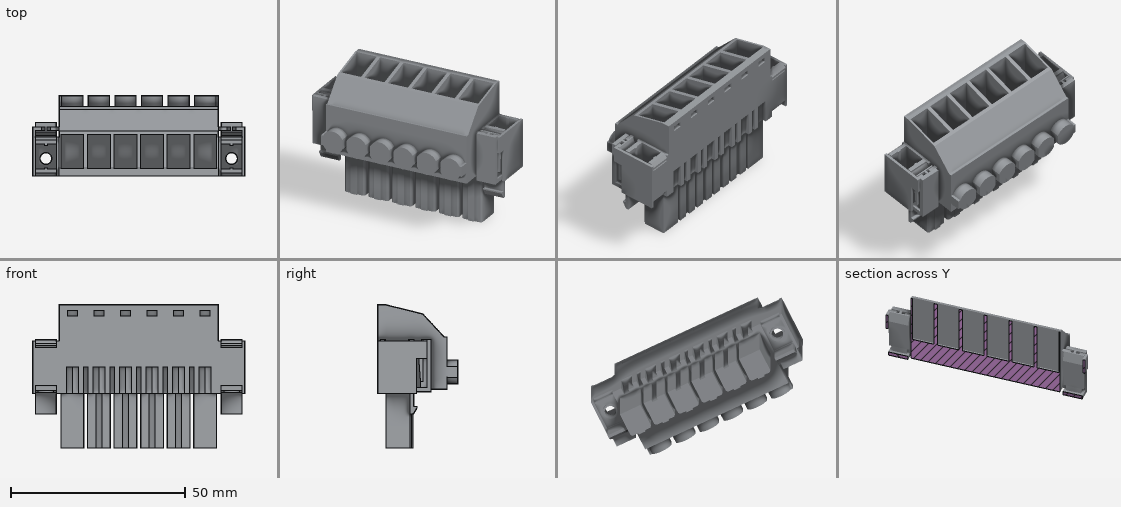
import cadquery as cq
import math

PITCH = 7.62
POLES = 6
TOTAL_HEIGHT = 41.15
TOTAL_DEPTH = 23.1
POLE_X = [(i - (POLES - 1) / 2) * PITCH for i in range(POLES)]

BODY_HALF = POLES * PITCH / 2
BODY_BACK = 20.0
BODY_BOTTOM = 15.6
BACK_BOTTOM = 16.85
FOOT_DEPTH = 11.25
TOP_FLAT = 2.36
KNEE_Y, KNEE_Z = 12.95, 38.55
SHOULDER_Y, SHOULDER_Z = 19.15, 31.9

FUNNEL_WIDTH = 6.5
FUNNEL_FRONT, FUNNEL_BACK = 2.18, 11.93
FUNNEL_FLOOR = 24.0
WINDOW_WIDTH, WINDOW_DEPTH = 2.95, 1.3
WINDOW_BOTTOM, WINDOW_TOP = 37.88, 39.55
RECESS_TOP = 23.2
RECESS_WIDTH = 3.5
RECESS_SHALLOW, RECESS_DEEP = 1.3, 2.0
NARROW_RECESS_WIDTH = 1.3

PRONG_WIDTH = 6.6
PRONG_FRONT = 2.36
PRONG_BACK = 9.8
PRONG_CHAMFER = 0.5
PRONG_SLOT_WIDTH, PRONG_SLOT_DEPTH = 1.65, 0.75
PRONG_RIB_WIDTH, PRONG_RIB_BACK = 2.0, 10.2

BUTTON_DIAMETER = 6.9
BUTTON_ACROSS_FLATS = 6.15
BUTTON_Z = 21.88

FLANGE_X = BODY_HALF + PITCH / 2
FLANGE_WALL = 0.77
FLANGE_TOP = 30.75
FLANGE_BACK = 14.15
BACK_WALL_FRONT = 13.05
FRONT_WALL = 0.9
CLIP_NOTCH_BOTTOM = 28.9
FOOT_NOTCH_TOP = 17.95
SIDE_WINDOW_TOP, SIDE_WINDOW_BOTTOM = 25.7, 17.4
NECK_SLOT_WIDTH = 2.64

LATCH_WIDTH = PITCH - 2 * FLANGE_WALL
LATCH_TOP = 31.1
LEVER_BACK = 15.42
LEVER_BOTTOM = 16.1
NECK_WIDTH = 0.64
PAD_FRONT, PAD_TOP = 12.33, 19.1
LUG_TIP_Y, LUG_TIP_Z = 11.66, 28.4
LUG_TOP_FRONT = 12.67
FLOOR_BOTTOM = 16.5
CLIP_BACK = 2.0
CLIP_CHAMFER_Y, CLIP_EDGE_Z, CLIP_UNDERSIDE = 0.9, 30.0, 29.45
LEAF_FRONT, LEAF_BACK = 9.15, 10.43
LEAF_LUG_BACK, LEAF_LUG_TOP, LEAF_LUG_BOTTOM = 11.22, 30.5, 29.2
HOOK_FRONT = 9.39
HOOK_STEP_Z = 15.9
HOOK_TIP_Y, HOOK_TOP, HOOK_BOTTOM = 11.4, 11.95, 9.75
HOOK_TIP_HEIGHT = 0.4
HOOK_END_BACK = 10.3
SCREW_HOLE = 3.3
SCREW_Y = 5.05
BOSS_DIAMETER = 4.4
RIB_WIDTH, RIB_HEIGHT = 0.9, 0.3


def block(x0, x1, y0, y1, z0, z1):
    """Box between two opposite corners."""
    return cq.Workplane("XY").box(x1 - x0, y1 - y0, z1 - z0, centered=False).translate((x0, y0, z0))


def centred_block(x, width, y0, y1, z0, z1):
    """Box of the given width about x."""
    return block(x - width / 2, x + width / 2, y0, y1, z0, z1)


def side_profile(points, x, width):
    """Extrude an outline of (Y, Z) points along X, centred on x."""
    return cq.Workplane("YZ", origin=(x - width / 2, 0, 0)).polyline(points).close().extrude(width)


def main_block():
    return side_profile(
        [
            (0, BODY_BOTTOM),
            (FOOT_DEPTH, BODY_BOTTOM),
            (FOOT_DEPTH, BACK_BOTTOM),
            (BODY_BACK, BACK_BOTTOM),
            (BODY_BACK, SHOULDER_Z),
            (SHOULDER_Y, SHOULDER_Z),
            (KNEE_Y, KNEE_Z),
            (TOP_FLAT, TOTAL_HEIGHT),
            (0, TOTAL_HEIGHT),
        ],
        0,
        2 * BODY_HALF,
    )


def prong(x, slotted):
    """Contact prong; the slotted ones carry a shallow groove down the front."""
    body = centred_block(x, PRONG_WIDTH, PRONG_FRONT, PRONG_BACK, 0, BODY_BOTTOM)
    body = body.edges("|Z and >Y").chamfer(PRONG_CHAMFER)
    body = body.union(centred_block(x, PRONG_RIB_WIDTH, PRONG_FRONT, PRONG_RIB_BACK, 0, BODY_BOTTOM))
    if slotted:
        slot_back = PRONG_FRONT + PRONG_SLOT_DEPTH
        body = body.cut(centred_block(x, PRONG_SLOT_WIDTH, PRONG_FRONT, slot_back, 0, BODY_BOTTOM))
    return body


def pole_cuts(x):
    """Wire funnel, test window and two-step front recess of one pole."""
    funnel = centred_block(x, FUNNEL_WIDTH, FUNNEL_FRONT, FUNNEL_BACK, FUNNEL_FLOOR, TOTAL_HEIGHT)
    window = centred_block(x, WINDOW_WIDTH, 0, WINDOW_DEPTH, WINDOW_BOTTOM, WINDOW_TOP)
    recess = centred_block(x, RECESS_WIDTH, 0, RECESS_SHALLOW, BODY_BOTTOM, RECESS_TOP)
    deep_half = block(x - RECESS_WIDTH / 2, x, 0, RECESS_DEEP, BODY_BOTTOM, RECESS_TOP)
    return funnel.union(window).union(recess).union(deep_half)


def flange_box(side):
    """Open box at one end of the housing that holds a latch; side is -1 or +1."""
    x = side * FLANGE_X
    inner_face = side * BODY_HALF
    box = centred_block(x, PITCH, 0, FLANGE_BACK, BODY_BOTTOM, FLANGE_TOP)
    box = box.cut(centred_block(x, LATCH_WIDTH, FRONT_WALL, BACK_WALL_FRONT, BODY_BOTTOM, FLANGE_TOP))
    box = box.cut(centred_block(x, LATCH_WIDTH, 0, FRONT_WALL, CLIP_NOTCH_BOTTOM, FLANGE_TOP))
    box = box.cut(centred_block(x, LATCH_WIDTH, 0, FRONT_WALL, BODY_BOTTOM, FOOT_NOTCH_TOP))

    box = box.cut(
        centred_block(inner_face, 2 * FLANGE_WALL, FOOT_DEPTH, BACK_WALL_FRONT, BODY_BOTTOM, FLANGE_TOP)
    )
    outer_face = side * (FLANGE_X + PITCH / 2)
    box = box.cut(
        centred_block(outer_face, 4 * FLANGE_WALL, FOOT_DEPTH, FLANGE_BACK, BODY_BOTTOM, SIDE_WINDOW_TOP)
    )
    box = box.cut(centred_block(x, PITCH, FOOT_DEPTH, FLANGE_BACK, BODY_BOTTOM, SIDE_WINDOW_BOTTOM))
    pad_width = PITCH - 4 * FLANGE_WALL
    box = box.union(centred_block(x, pad_width, PAD_FRONT, FLANGE_BACK, SIDE_WINDOW_BOTTOM, PAD_TOP))
    return box.cut(
        centred_block(x, NECK_SLOT_WIDTH, BACK_WALL_FRONT, FLANGE_BACK, SIDE_WINDOW_TOP, FLANGE_TOP)
    )


def end_stop(side):
    """Bar beside the outermost button, flush with the end face of the main block."""
    height = math.sqrt(BUTTON_DIAMETER**2 - BUTTON_ACROSS_FLATS**2)
    width = (PITCH - BUTTON_ACROSS_FLATS) / 2
    return centred_block(
        side * (BODY_HALF - width / 2),
        width,
        BODY_BACK,
        TOTAL_DEPTH,
        BUTTON_Z - height / 2,
        BUTTON_Z + height / 2,
    )


def make_housing():
    body = main_block()
    for x in POLE_X:
        body = body.cut(pole_cuts(x))
    for left, right in zip(POLE_X, POLE_X[1:]):
        middle = (left + right) / 2
        body = body.cut(
            centred_block(middle, NARROW_RECESS_WIDTH, 0, RECESS_DEEP, BODY_BOTTOM, RECESS_TOP)
        )
    for i, x in enumerate(POLE_X):
        body = body.union(prong(x, slotted=0 < i < POLES - 1))
    for side in (-1, 1):
        body = body.union(flange_box(side)).union(end_stop(side))
    return body


def make_button(x):
    """Round push button with two flat sides, standing on the back face."""
    length = TOTAL_DEPTH - BODY_BACK
    button = cq.Workplane("XZ", origin=(x, TOTAL_DEPTH, BUTTON_Z)).circle(BUTTON_DIAMETER / 2).extrude(length)
    return button.intersect(
        centred_block(
            x, BUTTON_ACROSS_FLATS, BODY_BACK, TOTAL_DEPTH, BUTTON_Z - PITCH / 2, BUTTON_Z + PITCH / 2
        )
    )


def make_latch(x):
    """Screw-flange latch: front clip, floor with screw hole, hooked leaf and release lever."""
    floor_and_clip = side_profile(
        [
            (FRONT_WALL, FLOOR_BOTTOM),
            (LEAF_BACK, FLOOR_BOTTOM),
            (LEAF_BACK, FOOT_NOTCH_TOP),
            (CLIP_BACK, FOOT_NOTCH_TOP),
            (CLIP_BACK, LATCH_TOP),
            (CLIP_CHAMFER_Y, LATCH_TOP),
            (0, CLIP_EDGE_Z),
            (0, CLIP_UNDERSIDE),
            (FRONT_WALL, CLIP_UNDERSIDE),
        ],
        x,
        LATCH_WIDTH,
    )
    hooked_leaf = side_profile(
        [
            (HOOK_FRONT, HOOK_BOTTOM),
            (HOOK_END_BACK, HOOK_BOTTOM),
            (HOOK_TIP_Y, HOOK_TOP - HOOK_TIP_HEIGHT),
            (HOOK_TIP_Y, HOOK_TOP),
            (LEAF_BACK, HOOK_TOP),
            (LEAF_BACK, LEAF_LUG_BOTTOM),
            (LEAF_LUG_BACK, LEAF_LUG_BOTTOM),
            (LEAF_BACK, LEAF_LUG_TOP),
            (LEAF_BACK, LATCH_TOP),
            (LEAF_FRONT, LATCH_TOP),
            (LEAF_FRONT, HOOK_STEP_Z),
            (HOOK_FRONT, HOOK_STEP_Z),
        ],
        x,
        LATCH_WIDTH,
    )
    lever = side_profile(
        [
            (LEAF_BACK, LEVER_BOTTOM),
            (LEVER_BACK, LEVER_BOTTOM),
            (LEVER_BACK, LATCH_TOP),
            (FLANGE_BACK, LATCH_TOP),
            (FLANGE_BACK, SIDE_WINDOW_BOTTOM),
            (LEAF_BACK, SIDE_WINDOW_BOTTOM),
        ],
        x,
        LATCH_WIDTH,
    )
    locking_lug = side_profile(
        [
            (PAD_FRONT, PAD_TOP),
            (BACK_WALL_FRONT, PAD_TOP),
            (BACK_WALL_FRONT, LATCH_TOP),
            (LUG_TOP_FRONT, LATCH_TOP),
            (LUG_TIP_Y, LUG_TIP_Z),
        ],
        x,
        LATCH_WIDTH,
    )
    neck = centred_block(x, NECK_WIDTH, BACK_WALL_FRONT, FLANGE_BACK, SIDE_WINDOW_TOP, LATCH_TOP)
    clip_rib = centred_block(x, RIB_WIDTH, CLIP_BACK, CLIP_BACK + RIB_HEIGHT, FLOOR_BOTTOM, LATCH_TOP)
    leaf_rib = centred_block(x, RIB_WIDTH, LEAF_FRONT - RIB_HEIGHT, LEAF_FRONT, FLOOR_BOTTOM, LATCH_TOP)
    boss = (
        cq.Workplane("XY", origin=(x, SCREW_Y, HOOK_STEP_Z))
        .circle(BOSS_DIAMETER / 2)
        .extrude(FLOOR_BOTTOM - HOOK_STEP_Z)
    )
    latch = floor_and_clip
    for feature in (hooked_leaf, lever, locking_lug, neck, clip_rib, leaf_rib, boss):
        latch = latch.union(feature)
    hole = (
        cq.Workplane("XY", origin=(x, SCREW_Y, HOOK_STEP_Z))
        .circle(SCREW_HOLE / 2)
        .extrude(FOOT_NOTCH_TOP - HOOK_STEP_Z)
    )
    return latch.cut(hole)


housing = make_housing()
buttons = [make_button(x) for x in POLE_X]
latches = [make_latch(side * FLANGE_X) for side in (-1, 1)]

result = cq.Compound.makeCompound(
    [housing.val(), *[button.val() for button in buttons], *[latch.val() for latch in latches]]
)